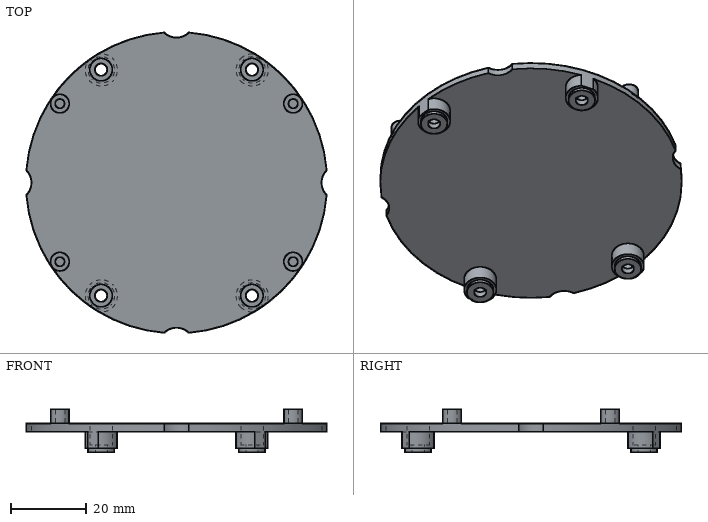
import cadquery as cq
import math

overall_width = 79.75
plate_thickness = 2.2
notch_half_width = 3.3
notch_depth = 1.35
half_width = overall_width / 2
plate_radius = math.hypot(half_width, notch_half_width)

post_x = 30.9
post_y = 21.0
post_diameter = 4.95
post_height = 3.8
post_bore_diameter = 2.5

boss_x = 20.0
boss_y = 30.0
boss_diameter = 8.5
boss_height = 4.4
spigot_diameter = 7.0
spigot_height = 1.0
screw_hole_diameter = 3.2
counterbore_diameter = 6.0
counterbore_floor = 2.0


def cylinders(x, y, diameter, bottom, top):
    """Four upright cylinders placed symmetrically at (+-x, +-y)."""
    return (
        cq.Workplane("XY")
        .workplane(offset=bottom)
        .rect(2 * x, 2 * y, forConstruction=True)
        .vertices()
        .circle(diameter / 2)
        .extrude(top - bottom)
    )


def notch_cutters():
    """Four cylinders whose arcs pass through the notch tips and the notch floor."""
    radius = (notch_half_width**2 + notch_depth**2) / (2 * notch_depth)
    centre_distance = half_width - notch_depth + radius
    return (
        cq.Workplane("XY")
        .polarArray(centre_distance, 0, 360, 4)
        .circle(radius)
        .extrude(plate_thickness)
    )


plate_top = plate_thickness
post_top = plate_top + post_height
boss_bottom = -boss_height
spigot_bottom = boss_bottom - spigot_height
counterbore_bottom = spigot_bottom + counterbore_floor

plate = cq.Workplane("XY").circle(plate_radius).extrude(plate_thickness).cut(notch_cutters())

posts = cylinders(post_x, post_y, post_diameter, plate_top, post_top)
posts = posts.cut(cylinders(post_x, post_y, post_bore_diameter, plate_top, post_top))

rim = cq.Workplane("XY").workplane(offset=boss_bottom).circle(plate_radius).extrude(boss_height)
bosses = cylinders(boss_x, boss_y, boss_diameter, boss_bottom, 0).intersect(rim)
spigots = cylinders(boss_x, boss_y, spigot_diameter, spigot_bottom, boss_bottom)

screw_holes = cylinders(boss_x, boss_y, screw_hole_diameter, spigot_bottom, plate_top)
counterbores = cylinders(boss_x, boss_y, counterbore_diameter, counterbore_bottom, plate_top)

result = plate.union(posts).union(bosses).union(spigots).cut(screw_holes).cut(counterbores)